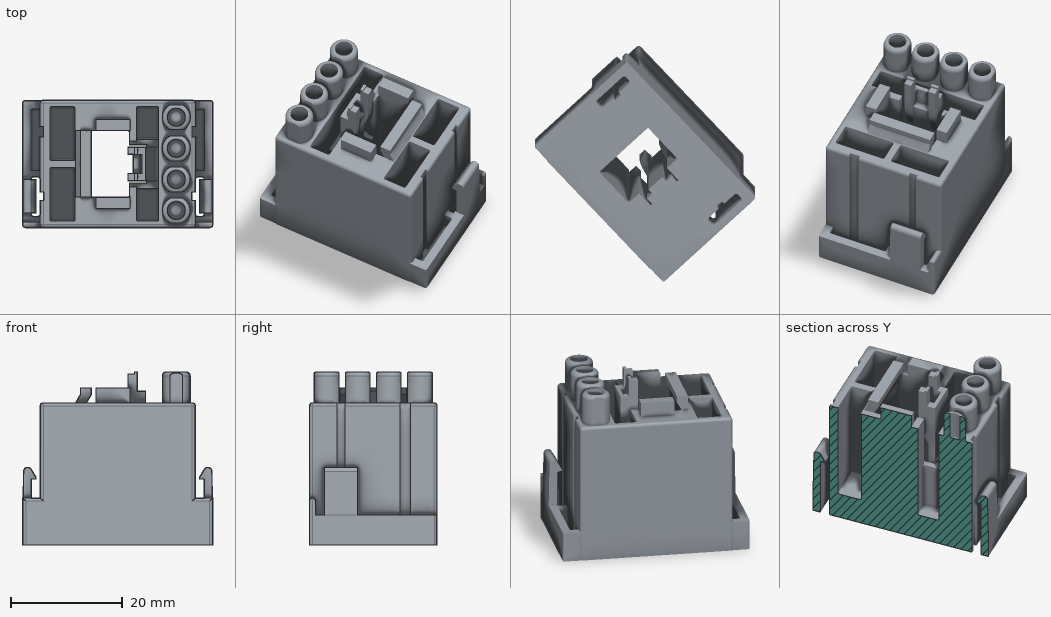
import cadquery as cq
import math

BASE_LENGTH = 34.0
WIDTH = 22.84
TOTAL_HEIGHT = 31.0

BODY_LENGTH = 27.74
BODY_HEIGHT = 25.45
BODY_FILLET = 0.55
FLANGE_HEIGHT = 5.4
FLANGE_BACK_STEP = 0.1
FLANGE_CORNER = 0.4
SKIRT_HEIGHT = 8.4
SKIRT_THICKNESS = 1.06
FRONT_Y = -WIDTH / 2
BACK_Y = WIDTH / 2

GROOVE_DEPTH = 0.6
BLIND_GROOVE = (4.8, 6.7)
THROUGH_GROOVE = (-6.5, -5.05)

FLANGE_RIM = 1.5
FLANGE_POCKET_Y = (-1.2, 9.8)
FLANGE_POCKET_FLOOR = 2.0
FLANGE_POCKET_FILLET = 0.25
WINDOW_Y = (-9.4, -2.3)
WINDOW_CORNER = 0.5

CLIP_Y = (-8.75, -2.8)
CLIP_STEM = 1.55
CLIP_TILT = 0.15
CLIP_TIP_RADIUS = 0.75
CLIP_HEIGHT = 13.9
CLIP_HOOK_REACH = 2.4
CLIP_HOOK_BOTTOM = 11.8
CLIP_HOOK_EDGE = 0.3
CLIP_RAMP_ANGLE = 30.0

PIN_DIAMETER = 5.0
PIN_BORE = 3.2
PIN_FLATS = 4.45
PIN_ROUNDING = 0.8
PIN_X = 10.47
PIN_PITCH = 5.56
PIN_COUNT = 4

SHAFT_X = (-5.6, 2.1)
SHAFT_Y = (-5.95, 5.95)
SHAFT_CORNER = 0.3

POCKET_END_Y = 10.23
POCKET_FLOOR = BODY_HEIGHT - 20.0
POCKET_FILLET = 0.3
LARGE_POCKET_X = (-12.1, -7.67)
LARGE_POCKET_INNER_Y = 0.63
SMALL_POCKET_X = (3.36, 7.33)
SMALL_POCKET_INNER_Y = 4.4

RECESS_Y = 4.14
RECESS_FLOOR = 15.0

SLOT_Y = 3.4
SLOT_END_X = 5.17
TONGUE_Y = 3.02
TONGUE_X = (2.75, 5.0)
TONGUE_SEAT_X = 3.97
TONGUE_SEAT_Z = 24.4
TONGUE_TOP_X = 4.31
TONGUE_SLOPE_TOP_Z = 26.6
TONGUE_TOP_Z = 27.55
PRONG_INNER_Y = 1.7
PRONG_X = 1.83
PRONG_STEP_X = 2.97
PRONG_BACK_X = 3.5
PRONG_STEP_Z = 30.6
PRONG_FOOT_Z = 26.0
PRONG_CURVE_RADIUS = 13.8
PRONG_CURVE_DROP = 7.0
RAMP_BOTTOM_Z = 15.5
RAMP_TOP_Z = 16.4
RAMP_TOP_X = 6.7

GUIDE_X = (-3.9, 2.16)
GUIDE_THICKNESS = 2.0
GUIDE_TOP = 28.1
LEVER_FOOT_X = (-7.53, -5.6)
LEVER_HEAD_X = (-6.7, -4.73)
LEVER_BEND_Z = 26.9


def block(x_range, y_range, z_range):
    """Axis-aligned box spanning the given (low, high) ranges."""
    size = [high - low for low, high in (x_range, y_range, z_range)]
    corner = (x_range[0], y_range[0], z_range[0])
    return cq.Workplane("XY").box(*size, centered=False).translate(corner)


def extrude_along_y(points, y_range):
    """Prism with an XZ outline spanning the given (low, high) Y range."""
    profile = cq.Workplane("XZ", origin=(0, y_range[1], 0)).polyline(points).close()
    return profile.extrude(y_range[1] - y_range[0])


def both_ends(shape):
    return shape.union(shape.mirror("YZ"))


def make_housing():
    half_body = BODY_LENGTH / 2
    half_base = BASE_LENGTH / 2
    body = block((-half_body, half_body), (FRONT_Y, BACK_Y), (0, BODY_HEIGHT))
    body = body.edges("|Z or >Z").fillet(BODY_FILLET)

    skirt_back = FRONT_Y + SKIRT_THICKNESS
    skirt_shoulder = SKIRT_HEIGHT - SKIRT_THICKNESS / 2
    skirt = (
        cq.Workplane("YZ", origin=(-half_base, 0, 0))
        .moveTo(FRONT_Y, 0)
        .lineTo(FRONT_Y, skirt_shoulder)
        .threePointArc((FRONT_Y + SKIRT_THICKNESS / 2, SKIRT_HEIGHT), (skirt_back, skirt_shoulder))
        .lineTo(skirt_back, 0)
        .close()
        .extrude(BASE_LENGTH)
    )
    rounded_plan = block((-half_base, half_base), (FRONT_Y, BACK_Y), (0, SKIRT_HEIGHT))
    skirt = skirt.intersect(rounded_plan.edges("|Z").fillet(BODY_FILLET))

    flange_y = (skirt_back, BACK_Y - FLANGE_BACK_STEP)
    flange = block((-half_base, half_base), flange_y, (0, FLANGE_HEIGHT))
    flange = flange.edges("|Z and >Y").fillet(FLANGE_CORNER)
    return body.union(skirt).union(flange)


def make_flange_cutouts():
    """Pocket, window and guide grooves at the +X end, repeated at the -X end."""
    body_end = BODY_LENGTH / 2
    rim_inside = BASE_LENGTH / 2 - FLANGE_RIM
    groove_x = (body_end - GROOVE_DEPTH, body_end)
    cut_x = (body_end, rim_inside)

    pocket = block(cut_x, FLANGE_POCKET_Y, (FLANGE_POCKET_FLOOR, FLANGE_HEIGHT))
    pocket = pocket.edges("(|Z and >X) or <Z").fillet(FLANGE_POCKET_FILLET)
    window = block(cut_x, WINDOW_Y, (0, FLANGE_HEIGHT)).edges("|Z").fillet(WINDOW_CORNER)
    blind_groove = block(groove_x, BLIND_GROOVE, (FLANGE_POCKET_FLOOR, BODY_HEIGHT))
    blind_groove = blind_groove.union(
        block((body_end, body_end + FLANGE_POCKET_FILLET), BLIND_GROOVE, (FLANGE_POCKET_FLOOR, FLANGE_HEIGHT))
    )
    through_groove = block(groove_x, THROUGH_GROOVE, (0, BODY_HEIGHT))
    return both_ends(pocket.union(window).union(blind_groove).union(through_groove))


def make_clips():
    outer = -BASE_LENGTH / 2
    tip_outer = outer + CLIP_TILT
    tip_x = tip_outer + CLIP_TIP_RADIUS
    tip_z = CLIP_HEIGHT - CLIP_TIP_RADIUS
    angle = math.radians(CLIP_RAMP_ANGLE)
    ramp_x = tip_x + CLIP_TIP_RADIUS * math.cos(angle)
    ramp_z = tip_z + CLIP_TIP_RADIUS * math.sin(angle)
    stem_x = outer + CLIP_STEM
    hook_x = outer + CLIP_HOOK_REACH
    clip = (
        cq.Workplane("XZ", origin=(0, CLIP_Y[1], 0))
        .moveTo(outer, FLANGE_HEIGHT)
        .lineTo(tip_outer, tip_z)
        .threePointArc((tip_x, CLIP_HEIGHT), (ramp_x, ramp_z))
        .lineTo(hook_x, CLIP_HOOK_BOTTOM + CLIP_HOOK_EDGE)
        .lineTo(hook_x, CLIP_HOOK_BOTTOM)
        .lineTo(stem_x, CLIP_HOOK_BOTTOM)
        .lineTo(stem_x, FLANGE_HEIGHT)
        .close()
        .extrude(CLIP_Y[1] - CLIP_Y[0])
    )
    return both_ends(clip)


def make_pin():
    height = TOTAL_HEIGHT - BODY_HEIGHT
    pin = cq.Workplane("XY").circle(PIN_DIAMETER / 2).extrude(height)
    pin = pin.faces(">Z").edges().fillet(PIN_ROUNDING)
    pin = pin.intersect(cq.Workplane("XY").box(PIN_DIAMETER, PIN_FLATS, 2 * height))
    return pin.cut(cq.Workplane("XY").circle(PIN_BORE / 2).extrude(height))


def make_pins():
    pin = make_pin()
    pins = cq.Workplane("XY")
    for index in range(PIN_COUNT):
        y = (index - (PIN_COUNT - 1) / 2) * PIN_PITCH
        pins = pins.add(pin.translate((PIN_X, y, BODY_HEIGHT)))
    return pins.combine()


def make_top_pocket(x_range, inner_y):
    pocket = block(x_range, (inner_y, POCKET_END_Y), (POCKET_FLOOR, BODY_HEIGHT))
    pocket = pocket.edges("|Z or <Z").fillet(POCKET_FILLET)
    return pocket.union(pocket.mirror("XZ"))


def make_top_cutouts():
    shaft = block(SHAFT_X, SHAFT_Y, (0, BODY_HEIGHT)).edges("|Z and >X").fillet(SHAFT_CORNER)
    large_pockets = make_top_pocket(LARGE_POCKET_X, LARGE_POCKET_INNER_Y)
    small_pockets = make_top_pocket(SMALL_POCKET_X, SMALL_POCKET_INNER_Y)
    recess_z = (RECESS_FLOOR, BODY_HEIGHT)
    recess = block((SHAFT_X[1], SMALL_POCKET_X[1]), (-RECESS_Y, RECESS_Y), recess_z)
    pocket_link_y = SMALL_POCKET_INNER_Y + POCKET_FILLET
    pocket_link = block(SMALL_POCKET_X, (-pocket_link_y, pocket_link_y), recess_z)
    slot = block((SHAFT_X[1], SLOT_END_X), (-SLOT_Y, SLOT_Y), (0, BODY_HEIGHT))
    cutouts = shaft.union(large_pockets).union(small_pockets)
    return cutouts.union(recess).union(pocket_link).union(slot)


def make_latch():
    front, back = TONGUE_X
    tongue = extrude_along_y(
        [
            (front, 0),
            (front, TONGUE_SEAT_Z),
            (TONGUE_SEAT_X, TONGUE_SEAT_Z),
            (TONGUE_TOP_X, TONGUE_SLOPE_TOP_Z),
            (TONGUE_TOP_X, TONGUE_TOP_Z),
            (back, TONGUE_TOP_Z),
            (back, 0),
        ],
        (-PRONG_INNER_Y, PRONG_INNER_Y),
    )

    curve_angle = math.asin(PRONG_CURVE_DROP / PRONG_CURVE_RADIUS)

    def curve_point(angle):
        x = PRONG_X + PRONG_CURVE_RADIUS * (1 - math.cos(angle))
        return x, PRONG_FOOT_Z - PRONG_CURVE_RADIUS * math.sin(angle)

    curve_end = curve_point(curve_angle)
    prong = (
        cq.Workplane("XZ", origin=(0, TONGUE_Y, 0))
        .moveTo(PRONG_X, PRONG_FOOT_Z)
        .lineTo(PRONG_X, PRONG_STEP_Z)
        .lineTo(PRONG_STEP_X, PRONG_STEP_Z)
        .lineTo(PRONG_STEP_X, TOTAL_HEIGHT)
        .lineTo(PRONG_BACK_X, TOTAL_HEIGHT)
        .lineTo(PRONG_BACK_X, TONGUE_TOP_Z)
        .lineTo(back, TONGUE_TOP_Z)
        .lineTo(back, 0)
        .lineTo(curve_end[0], 0)
        .lineTo(*curve_end)
        .threePointArc(curve_point(curve_angle / 2), (PRONG_X, PRONG_FOOT_Z))
        .close()
        .extrude(TONGUE_Y - PRONG_INNER_Y)
    )
    root = (
        cq.Workplane("XZ", origin=(0, TONGUE_Y, 0))
        .moveTo(back, 0)
        .lineTo(back, RAMP_BOTTOM_Z)
        .lineTo(RAMP_TOP_X, RAMP_TOP_Z)
        .tangentArcPoint((SMALL_POCKET_X[1], RAMP_BOTTOM_Z), relative=False)
        .lineTo(SMALL_POCKET_X[1], 0)
        .close()
        .extrude(2 * TONGUE_Y)
    )
    return tongue.union(prong).union(prong.mirror("XZ")).union(root)


def make_guides():
    inner_y = SHAFT_Y[1]
    guide = block(GUIDE_X, (inner_y, inner_y + GUIDE_THICKNESS), (BODY_HEIGHT, GUIDE_TOP))
    return guide.union(guide.mirror("XZ"))


def make_lever():
    outline = [
        (LEVER_FOOT_X[0], BODY_HEIGHT),
        (LEVER_HEAD_X[0], LEVER_BEND_Z),
        (LEVER_HEAD_X[0], GUIDE_TOP),
        (LEVER_HEAD_X[1], GUIDE_TOP),
        (LEVER_HEAD_X[1], LEVER_BEND_Z),
        (LEVER_FOOT_X[1], BODY_HEIGHT),
    ]
    return extrude_along_y(outline, SHAFT_Y)


result = make_housing().cut(make_flange_cutouts()).cut(make_top_cutouts())
for feature in (make_clips(), make_pins(), make_latch(), make_guides(), make_lever()):
    result = result.union(feature)